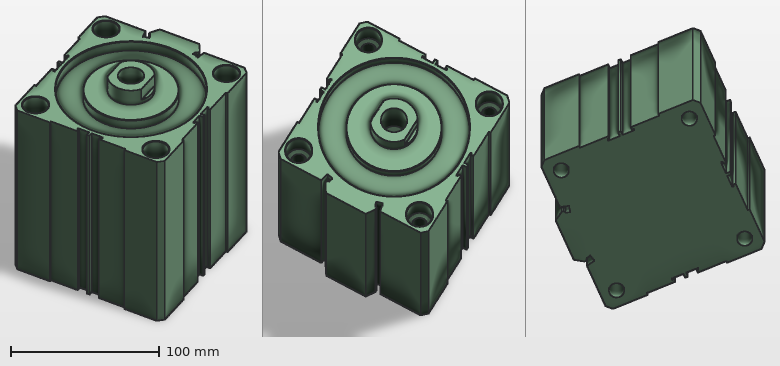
import cadquery as cq

total_height = 150.0
body_height = 138.3
half_width = 58.5
corner_chamfer = 3.9
edge_break = 0.5

relief_half_width = 29.1
relief_depth = 1.4
slot_depth = 3.0
slot_lip = 2.0
slot_opening_half = 8.2
slot_undercut_half = 9.6
slot_rib_half = 1.0

rail_top_y = 65.0
rail_top_half = 15.5
rail_widest_half = 19.5
rail_shoulder_y = 58.8
rail_lip_y = 57.2
rail_neck_half = 17.8
rail_neck_y = 56.4
groove_inner_half = 17.1
groove_inner_y = 53.5
groove_outer_half = 21.6
groove_outer_y = 52.4
groove_mouth_half = 23.0

mount_offset = 47.1
mount_hole_diameter = 10.4
mount_counterbore_diameter = 17.7
mount_counterbore_depth = 17.5

recess_diameter = 102.0
recess_depth = 8.1
collar_diameter = 64.8
collar_drop = 0.8

rod_diameter = 32.0
rod_length = 50.0
rod_flat_width = 26.7
rod_flat_length = 9.5
rod_bore_diameter = 17.7
rod_bore_depth = 30.0

rod_bottom_z = total_height - rod_length
recess_floor_z = body_height - recess_depth
collar_height = recess_depth - collar_drop


def cylinder(diameter, bottom_z, height):
    """Upright cylinder on the Z axis."""
    return cq.Workplane("XY").workplane(offset=bottom_z).circle(diameter / 2).extrude(height)


def make_rail_profile():
    """Closed outline of the dovetail rail, from groove floor to rail top."""
    right_side = [
        (groove_inner_half, groove_inner_y),
        (rail_neck_half, rail_neck_y),
        (rail_widest_half, rail_lip_y),
        (rail_widest_half, rail_shoulder_y),
        (rail_top_half, rail_top_y),
    ]
    left_side = [(-x, y) for x, y in reversed(right_side)]
    return right_side + left_side


def make_section():
    """Extruded square section with the rail, before the slots are cut."""
    block = (
        cq.Workplane("XY")
        .rect(2 * half_width, 2 * half_width)
        .extrude(body_height)
        .edges("|Z")
        .chamfer(corner_chamfer)
    )
    rail_bed = [
        (groove_mouth_half, half_width),
        (groove_outer_half, groove_outer_y),
        (groove_inner_half, groove_inner_y),
        (-groove_inner_half, groove_inner_y),
        (-groove_outer_half, groove_outer_y),
        (-groove_mouth_half, half_width),
    ]
    bed_cut = cq.Workplane("XY").polyline(rail_bed).close().extrude(body_height)
    rail = cq.Workplane("XY").polyline(make_rail_profile()).close().extrude(body_height)
    return block.cut(bed_cut).union(rail)


def make_side_cut():
    """Relief and pair of T-slots for the -Y side."""
    relief_y = -half_width + relief_depth
    lip_y = relief_y + slot_lip
    floor_y = relief_y + slot_depth
    cut = (
        cq.Workplane("XY")
        .center(0, -half_width + relief_depth / 2)
        .rect(2 * relief_half_width, relief_depth)
        .extrude(body_height)
    )
    for side in (-1, 1):
        outline = [
            (side * slot_rib_half, relief_y),
            (side * slot_opening_half, relief_y),
            (side * slot_opening_half, lip_y),
            (side * slot_undercut_half, lip_y),
            (side * slot_undercut_half, floor_y),
            (side * slot_rib_half, floor_y),
        ]
        cut = cut.union(cq.Workplane("XY").polyline(outline).close().extrude(body_height))
    return cut


def make_rim_cone(diameter):
    """Cone that breaks the rim of a round opening in the housing top."""
    return (
        cq.Workplane("XY")
        .workplane(offset=body_height)
        .circle(diameter / 2 + edge_break)
        .workplane(offset=-edge_break)
        .circle(diameter / 2)
        .loft(ruled=True)
    )


def make_mount_cut():
    """Counterbored through hole with a broken rim, on the Z axis."""
    counterbore_z = body_height - mount_counterbore_depth
    hole = cylinder(mount_hole_diameter, 0, body_height)
    counterbore = cylinder(mount_counterbore_diameter, counterbore_z, mount_counterbore_depth)
    return hole.union(counterbore).union(make_rim_cone(mount_counterbore_diameter))


def make_housing():
    """Slotted housing with its end recess, collar and rod socket."""
    housing = make_section()
    side_cut = make_side_cut()
    for angle in (0, 90, -90):
        housing = housing.cut(side_cut.rotate((0, 0, 0), (0, 0, 1), angle))

    mount_cut = make_mount_cut()
    for x in (-mount_offset, mount_offset):
        for y in (-mount_offset, mount_offset):
            housing = housing.cut(mount_cut.translate((x, y, 0)))

    recess = cylinder(recess_diameter, recess_floor_z, recess_depth).union(make_rim_cone(recess_diameter))
    collar = cylinder(collar_diameter, recess_floor_z, collar_height).faces(">Z").chamfer(edge_break)
    rod_socket = cylinder(rod_diameter, rod_bottom_z, rod_length)
    return housing.cut(recess).union(collar).cut(rod_socket)


def make_rod():
    """Round rod with two wrench flats and a blind bore at its top end."""
    rod = cylinder(rod_diameter, rod_bottom_z, rod_length)
    flat_z = total_height - rod_flat_length
    flat_envelope = (
        cq.Workplane("XY")
        .workplane(offset=flat_z)
        .rect(rod_flat_width, rod_diameter)
        .extrude(rod_flat_length)
    )
    flat_cut = cylinder(rod_diameter, flat_z, rod_flat_length).cut(flat_envelope)
    bore = cylinder(rod_bore_diameter, total_height - rod_bore_depth, rod_bore_depth)
    return rod.cut(flat_cut).cut(bore)


housing = make_housing()
rod = make_rod()

result = cq.Compound.makeCompound([housing.val(), rod.val()])